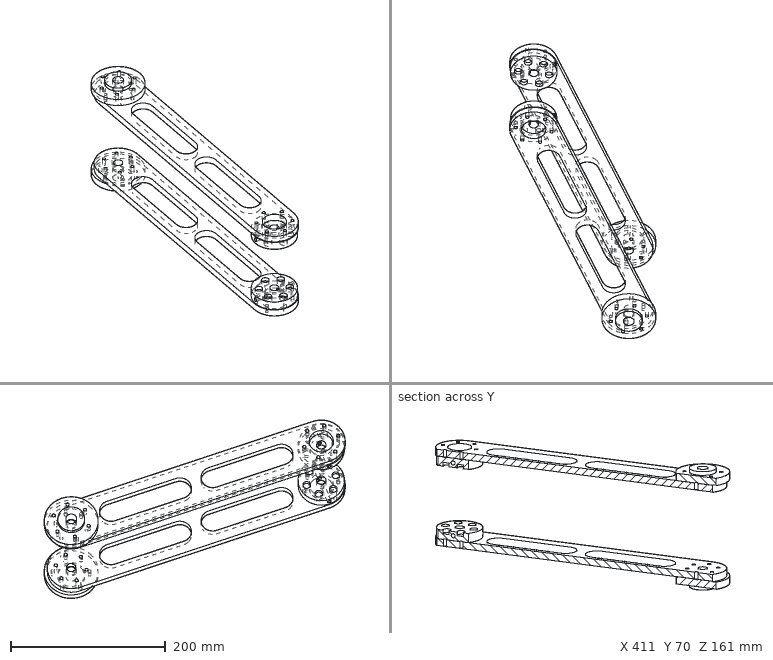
import cadquery as cq

overall_length = 411.0
inner_gap = 86.0

arm_width = 62.0
arm_thickness = 10.0
arm_bore_diameter = 12.0
flange_screw_diameter = 4.0
flange_screw_radius = 20.0
hub_screw_diameter = 4.0
hub_screw_radius = 23.5
hub_window_diameter = 31.2
slot_length = 125.0
slot_width = 30.0
slot_web = 15.2

flange_diameter = 70.0
flange_thickness = 10.0
boss_diameter = 35.0
boss_height = 5.0
flange_bore_diameter = 14.0
flange_hole_diameter = 4.0
flange_hole_radius = 24.0
flange_hole_angle = 21.0

hub_diameter = 60.0
hub_thickness = 12.5
hub_bore_diameter = 12.0
hub_pocket_diameter = 10.0
hub_pocket_depth = 5.0
hub_pocket_radius = 20.0
cross_hole_diameter = 5.0

holes_per_circle = 6
axis_distance = overall_length - flange_diameter / 2 - arm_width / 2

hub_bottom = inner_gap / 2
arm_bottom = hub_bottom + hub_thickness
arm_top = arm_bottom + arm_thickness
flange_top = arm_top + flange_thickness


def disc(x, bottom, diameter, height):
    """Upright cylinder centred on the arm's centre line at x."""
    return cq.Workplane("XY", origin=(x, 0, bottom)).circle(diameter / 2).extrude(height)


def disc_circle(x, bottom, diameter, height, circle_radius, start_angle=0.0):
    """Equally spaced cylinders on a circle around the axis at x."""
    return (
        cq.Workplane("XY", origin=(x, 0, bottom))
        .polarArray(circle_radius, start_angle, 360, holes_per_circle)
        .circle(diameter / 2)
        .extrude(height)
    )


def make_arm():
    """Round-ended bar with two long slots and a hole pattern at each end."""
    base = cq.Workplane("XY", origin=(axis_distance / 2, 0, arm_bottom))
    arm = base.slot2D(axis_distance + arm_width, arm_width).extrude(arm_thickness)
    slot_offset = (slot_length + slot_web) / 2
    slots = (
        base.pushPoints([(-slot_offset, 0), (slot_offset, 0)])
        .slot2D(slot_length, slot_width)
        .extrude(arm_thickness)
    )
    flange_screws = disc_circle(
        0, arm_bottom, flange_screw_diameter, arm_thickness, flange_screw_radius, 180 / holes_per_circle
    )
    hub_screws = disc_circle(
        axis_distance, arm_bottom, hub_screw_diameter, arm_thickness, hub_screw_radius
    )
    return (
        arm.cut(slots)
        .cut(disc(0, arm_bottom, arm_bore_diameter, arm_thickness))
        .cut(disc(axis_distance, arm_bottom, hub_window_diameter, arm_thickness))
        .cut(flange_screws)
        .cut(hub_screws)
    )


def make_flange():
    """Stepped disc on the outer face of the arm, bored through."""
    plate = disc(0, arm_top, flange_diameter, flange_thickness)
    boss = disc(0, flange_top, boss_diameter, boss_height)
    bore = disc(0, arm_top, flange_bore_diameter, flange_thickness + boss_height)
    holes = disc_circle(
        0, arm_top, flange_hole_diameter, flange_thickness, flange_hole_radius, flange_hole_angle
    )
    return plate.union(boss).cut(bore).cut(holes)


def make_hub():
    """Disc on the inner face of the arm with blind pockets and a cross hole along Y."""
    body = disc(axis_distance, hub_bottom, hub_diameter, hub_thickness)
    bore = disc(axis_distance, hub_bottom, hub_bore_diameter, hub_thickness)
    pockets = disc_circle(
        axis_distance, hub_bottom, hub_pocket_diameter, hub_pocket_depth, hub_pocket_radius
    )
    cross_hole = (
        cq.Workplane("XZ", origin=(axis_distance, 0, hub_bottom + hub_thickness / 2))
        .circle(cross_hole_diameter / 2)
        .extrude(hub_diameter / 2, both=True)
    )
    return body.cut(bore).cut(pockets).cut(cross_hole)


bodies = []
for turn in (0, 180):
    for make_body in (make_arm, make_flange, make_hub):
        bodies.append(make_body().rotate((0, 0, 0), (1, 0, 0), turn).val())

result = cq.Compound.makeCompound(bodies)